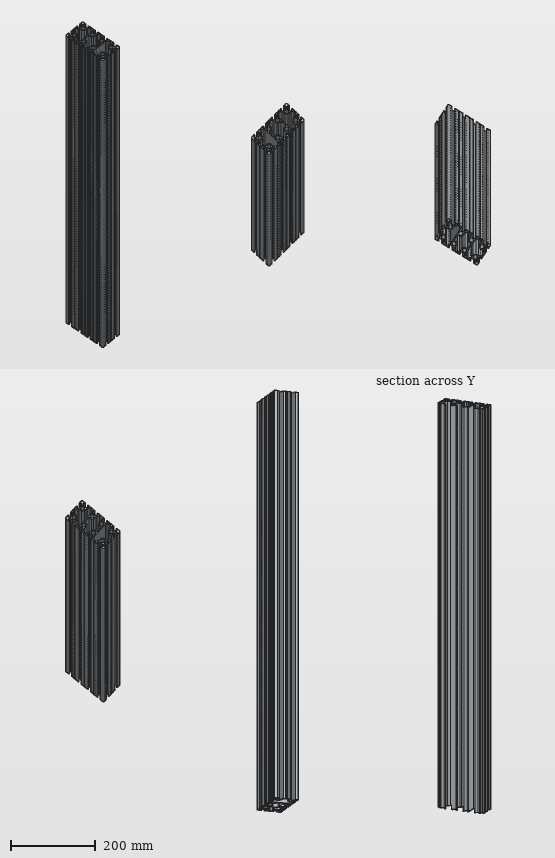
import cadquery as cq

length = 1000.0
width = 120.0
depth = 60.0
pitch = 30.0
corner_radius = 2.0

groove_width = 1.6
groove_depth = groove_width / 2

mouth_width = 8.0
mouth_radius = 0.4
lip = 2.5
undercut = 3.7
slot_width = mouth_width + 2 * undercut
slot_depth = 7.5
slot_bevel = 2.0

bore_diameter = 10.0

outer_wall = 2.5
roof_width = 5.0
roof_height = 7.5
block_half = 7.0
end_bevel = 5.0
middle_bevel = 3.0
web_center = 20.5
web_thickness = 3.0

half_width = width / 2
half_depth = depth / 2
bore_x = [-1.5 * pitch, -0.5 * pitch, 0.5 * pitch, 1.5 * pitch]
bore_y = [-0.5 * pitch, 0.5 * pitch]
groove_x = [-pitch, 0, pitch]
groove_y = [0]

block_gap_half = pitch / 2 - block_half
roof_top = half_depth - outer_wall
roof_foot = roof_top - roof_height


def prism(points):
    """Full-length prism over a closed outline."""
    return cq.Workplane("XY").polyline(points).close().extrude(length)


def mirrored(points):
    """Complete an outline that is symmetric about the Y axis from its +X half."""
    return points + [(-x, y) for x, y in reversed(points)]


def groove():
    """V-groove cut into a face lying on the X axis, pointing to -Y."""
    return prism([(groove_width / 2, 0), (0, -groove_depth), (-groove_width / 2, 0)])


def slot():
    """T-slot cut into a face lying on the X axis, pointing to -Y."""
    mouth_half = mouth_width / 2
    flare_half = mouth_half + mouth_radius
    channel = prism(mirrored([
        (mouth_half, 0),
        (mouth_half, -lip),
        (slot_width / 2, -lip),
        (slot_width / 2, -slot_depth + slot_bevel),
        (slot_width / 2 - slot_bevel, -slot_depth),
    ]))
    flare = (
        cq.Workplane("XY")
        .moveTo(flare_half, 0)
        .radiusArc((mouth_half, -mouth_radius), -mouth_radius)
        .lineTo(-mouth_half, -mouth_radius)
        .radiusArc((-flare_half, 0), -mouth_radius)
        .close()
        .extrude(length)
    )
    floor_groove = groove().translate((0, -slot_depth, 0))
    return channel.union(flare).union(floor_groove)


def cut_face(body, cutter, centers, distance, turn):
    """Repeat a cut at the given centers along the face at this distance and turn about Z."""
    for center in centers:
        placed = cutter.translate((center, distance, 0))
        body = body.cut(placed.rotate((0, 0, 0), (0, 0, 1), turn))
    return body


def middle_chamber():
    """Chamber between the two webs."""
    web_face = web_center - web_thickness / 2
    upper = mirrored([
        (web_face, block_gap_half),
        (block_gap_half + middle_bevel, block_gap_half),
        (block_gap_half, block_gap_half + middle_bevel),
        (block_gap_half, roof_foot),
        (roof_width / 2, roof_top),
    ])
    return prism(upper + [(-x, -y) for x, y in upper])


def end_chamber():
    """Chamber between the +X web and the +X face, with a third roof towards that face."""
    web_face = web_center + web_thickness / 2
    end_top = half_width - outer_wall
    block_side = pitch + block_gap_half
    upper = [
        (end_top, roof_width / 2),
        (end_top - roof_height, block_gap_half),
        (block_side + end_bevel, block_gap_half),
        (block_side, block_gap_half + end_bevel),
        (block_side, roof_foot),
        (pitch + roof_width / 2, roof_top),
        (pitch - roof_width / 2, roof_top),
        (web_face, roof_foot),
    ]
    return prism(upper + [(x, -y) for x, y in reversed(upper)])


body = cq.Workplane("XY").rect(width, depth).extrude(length)
body = body.edges("|Z").fillet(corner_radius)

for turn in (0, 180):
    body = cut_face(body, slot(), bore_x, half_depth, turn)
    body = cut_face(body, groove(), groove_x, half_depth, turn)
for turn in (90, 270):
    body = cut_face(body, slot(), bore_y, half_width, turn)
    body = cut_face(body, groove(), groove_y, half_width, turn)

bore_centers = [(x, y) for x in bore_x for y in bore_y]
bores = cq.Workplane("XY").pushPoints(bore_centers).circle(bore_diameter / 2).extrude(length)
body = body.cut(bores)

body = body.cut(middle_chamber())
body = body.cut(end_chamber())
body = body.cut(end_chamber().mirror("YZ"))

result = body